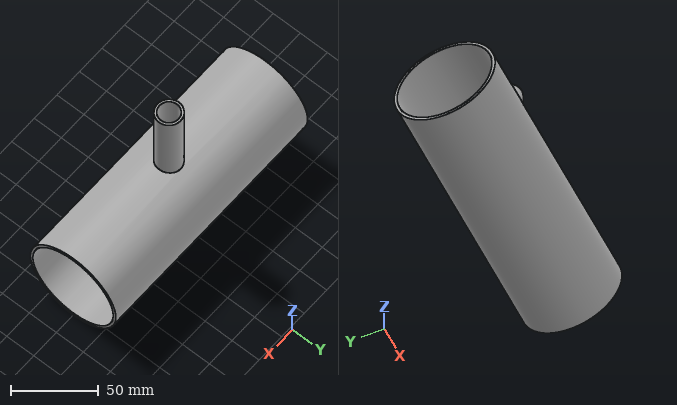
import cadquery as cq

pipe_length = 170.0
pipe_outer_diameter = 63.5
pipe_inner_diameter = 59.5

branch_outer_diameter = 17.3
branch_inner_diameter = 14.0
branch_top = 85.0


def pipe_cylinder(diameter):
    """Solid cylinder along X, centred on the origin."""
    return cq.Workplane("YZ").circle(diameter / 2).extrude(pipe_length / 2, both=True)


def branch_cylinder(diameter):
    """Solid cylinder along Z, from the main pipe axis to the branch top."""
    return cq.Workplane("XY").circle(diameter / 2).extrude(branch_top)


outer_body = pipe_cylinder(pipe_outer_diameter).union(branch_cylinder(branch_outer_diameter))
result = (
    outer_body
    .cut(pipe_cylinder(pipe_inner_diameter))
    .cut(branch_cylinder(branch_inner_diameter))
)